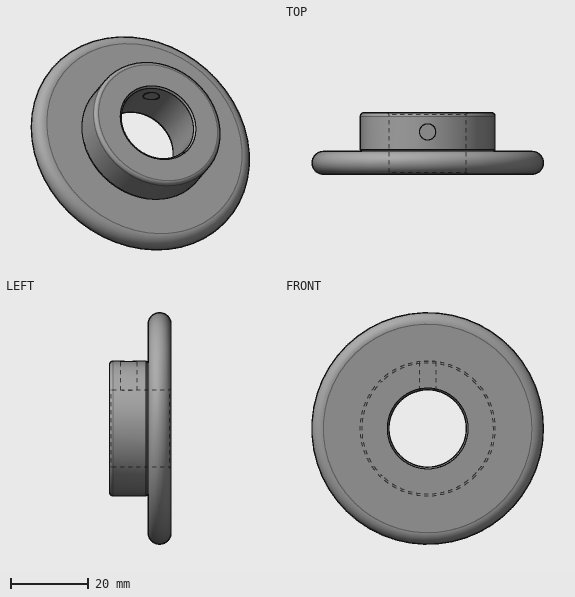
import cadquery as cq
import math

flange_diameter = 60.0
flange_thickness = 6.0
hub_diameter = 35.0
hub_length = 10.0
hub_end_round = 1.0
hub_root_chamfer = 0.5
bore_diameter = 20.0
bore_chamfer = 0.5
screw_diameter = 4.2

flange_radius = flange_diameter / 2
rim_radius = flange_thickness / 2
hub_radius = hub_diameter / 2
bore_radius = bore_diameter / 2
total_length = flange_thickness + hub_length
screw_radius = screw_diameter / 2
screw_y = flange_thickness + hub_length / 2
screw_top = math.sqrt(hub_radius**2 - screw_radius**2)


def cylinder_along_y(radius, start, length):
    """Solid cylinder on the common axis, from Y = start towards +Y."""
    return cq.Workplane("XZ", origin=(0, start, 0)).circle(radius).extrude(-length)


def make_flange():
    """Disc with a fully rounded rim."""
    face_radius = flange_radius - rim_radius
    return (
        cq.Workplane("XY")
        .lineTo(face_radius, 0)
        .threePointArc((flange_radius, rim_radius), (face_radius, flange_thickness))
        .lineTo(0, flange_thickness)
        .close()
        .revolve(360, (0, 0, 0), (0, 1, 0))
    )


def make_hub():
    """Boss behind the flange, rounded at its free end and chamfered at its root."""
    hub = cylinder_along_y(hub_radius, flange_thickness, hub_length)
    return hub.faces(">Y").edges().fillet(hub_end_round).faces("<Y").edges().chamfer(hub_root_chamfer)


def cylinder_along_z(start, end):
    """Upright cylinder of the screw diameter, from Z = start to Z = end."""
    return cq.Workplane("XY", origin=(0, screw_y, start)).circle(screw_radius).extrude(end - start)


def make_screw():
    """Radial set screw with flat ends, from the bore to the lowest point of its hole's rim."""
    return cylinder_along_z(bore_radius, screw_top)


def make_flanged_hub():
    """Flange and hub in one piece, with a chamfered bore and the screw hole."""
    body = make_flange().union(make_hub())
    body = body.cut(cylinder_along_y(bore_radius, 0, total_length))
    body = body.faces("<Y or >Y").edges("%CIRCLE").edges(
        cq.selectors.RadiusNthSelector(0)
    ).chamfer(bore_chamfer)
    return body.cut(cylinder_along_z(0, flange_radius))


flanged_hub = make_flanged_hub()
set_screw = make_screw()

result = cq.Compound.makeCompound([flanged_hub.val(), set_screw.val()])